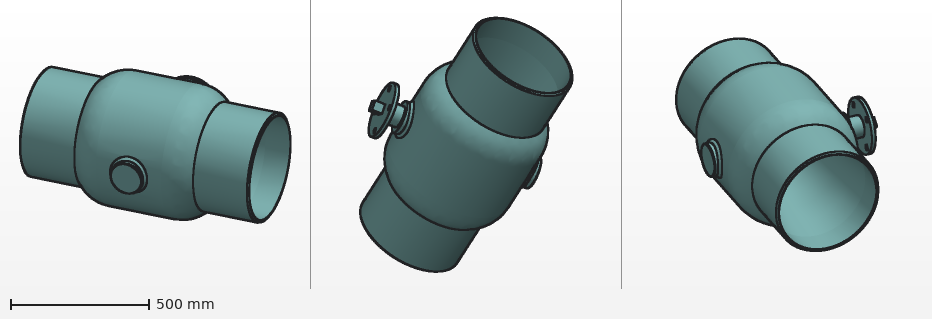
import cadquery as cq
import math

length = 900.0
overall_width = 660.0
pipe_radius = 407.0 / 2
pipe_bore_radius = 386.0 / 2
port_radius = 300.0 / 2
end_bevel_length = 5.0
end_bevel_depth = 8.0
taper_start = 353.0

body_radius = 502.0 / 2
body_half_straight = 128.0
body_half_length = 233.0

boss_radius = 124.0 / 2
front_boss_reach = 275.0
back_boss_reach = 272.0
boss_rim_chamfer = 3.0
weld_size = 11.0

stem_radius = 83.0 / 2
flange_radius = 212.0 / 2
flange_start = 328.5
flange_thickness = 15.0
drive_end = overall_width - front_boss_reach
drive_diagonal = 52.0
bolt_hole_diameter = 21.0
bolt_circle_radius = 83.0
bolt_count = 4
first_bolt_angle = 45


def y_cylinder(radius, start, end):
    """Solid cylinder on the Y axis between two Y positions."""
    return cq.Workplane("XZ", origin=(0, start, 0)).circle(radius).extrude(start - end)


def make_shell():
    """Outer form of pipe and body, revolved about X."""
    half = length / 2
    run = body_half_length - body_half_straight
    drop = body_radius - pipe_radius
    shoulder_radius = (run**2 + drop**2) / (2 * drop)
    half_angle = math.asin(run / shoulder_radius) / 2
    mid_x = body_half_straight + shoulder_radius * math.sin(half_angle)
    mid_r = body_radius - shoulder_radius * (1 - math.cos(half_angle))
    return (
        cq.Workplane("XY")
        .moveTo(-half, 0)
        .lineTo(-half, pipe_radius - end_bevel_depth)
        .lineTo(-half + end_bevel_length, pipe_radius)
        .lineTo(-body_half_length, pipe_radius)
        .threePointArc((-mid_x, mid_r), (-body_half_straight, body_radius))
        .lineTo(body_half_straight, body_radius)
        .threePointArc((mid_x, mid_r), (body_half_length, pipe_radius))
        .lineTo(half - end_bevel_length, pipe_radius)
        .lineTo(half, pipe_radius - end_bevel_depth)
        .lineTo(half, 0)
        .close()
        .revolve(360, (0, 0, 0), (1, 0, 0))
    )


def make_bore():
    """Through bore: straight at both ends, tapering to the port in the middle."""
    half = length / 2
    return (
        cq.Workplane("XY")
        .moveTo(-half, 0)
        .lineTo(-half, pipe_bore_radius)
        .lineTo(-taper_start, pipe_bore_radius)
        .lineTo(0, port_radius)
        .lineTo(taper_start, pipe_bore_radius)
        .lineTo(half, pipe_bore_radius)
        .lineTo(half, 0)
        .close()
        .revolve(360, (0, 0, 0), (1, 0, 0))
    )


def add_bosses(shell):
    """Join both bosses to the shell and bevel the saddle-shaped joints."""
    front = y_cylinder(boss_radius, 0, -front_boss_reach).faces("<Y").chamfer(boss_rim_chamfer)
    back = y_cylinder(boss_radius, 0, back_boss_reach)
    joined = shell.union(front).union(back)
    root_depth = math.sqrt(body_radius**2 - boss_radius**2)
    for side in (-1, 1):
        near = side * (root_depth - weld_size)
        far = side * (body_radius + weld_size)
        reach = boss_radius + weld_size
        box = cq.selectors.BoxSelector(
            (-reach, min(near, far), -reach), (reach, max(near, far), reach), boundingbox=True
        )
        joined = joined.edges(box).edges("not %LINE").chamfer(weld_size)
    return joined


def make_actuator_mount():
    """Stem with drilled flange and a square drive standing on its corner."""
    stem = y_cylinder(stem_radius, body_radius, flange_start)
    flange_end = flange_start + flange_thickness
    flange = (
        y_cylinder(flange_radius, flange_start, flange_end)
        .faces(">Y")
        .workplane(origin=(0, flange_end, 0))
        .polarArray(bolt_circle_radius, first_bolt_angle, 360, bolt_count)
        .hole(bolt_hole_diameter)
    )
    drive = (
        cq.Workplane("XZ", origin=(0, flange_end, 0))
        .polygon(4, drive_diagonal)
        .extrude(flange_end - drive_end)
    )
    return stem.union(flange).union(drive)


result = add_bosses(make_shell()).union(make_actuator_mount()).cut(make_bore())